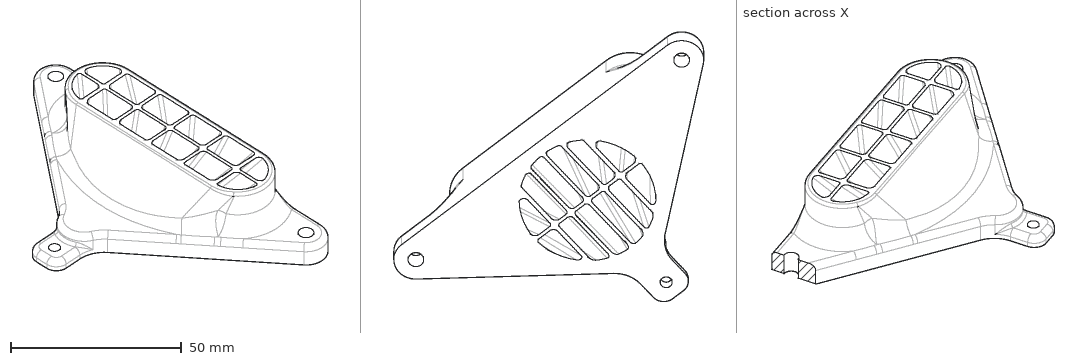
import cadquery as cq
import math

PLATE_HEIGHT = 7.0
PLATE_EDGE_RADIUS = 1.9
EAR_RADIUS = 6.48
EAR_X = 51.0
EAR_HOLE_DIAMETER = 4.6
SIDE_APEX_Y = -47.0
NOSE_RADIUS = 8.0

TAB_HEIGHT = 3.5
TAB_HALF_WIDTH = 6.1
TAB_END_Y = -65.0
TAB_CORNER_RADIUS = 4.0
TAB_EDGE_RADIUS = 1.95
TAB_ROOT_RADIUS = 10.0
TAB_HOLE_DIAMETER = 3.5
TAB_HOLE_Y = -59.6
NOSE_FOOT_RADIUS = 1.0

TOTAL_HEIGHT = 20.0
MOUTH_RADIUS = 11.0
MOUTH_CENTER_X = 27.5
MOUTH_EDGE_RADIUS = 0.9
CAP_BASE_Z = 19.0
SKIRT_RADIUS = 5.0
WALL = 2.0
PORT_RADIUS = 20.0
PORT_Y = -24.0
SLOPE_SPLIT = math.radians(35)
CAVITY_SPLIT = math.radians(51)

COLUMN_VANE_THICKNESS = 1.1
ROW_VANE_THICKNESS = 0.9
VANE_PITCH_TOP = 13.45
VANE_PITCH_BOTTOM = 6.3
VANES_PER_SIDE = 2
CELL_CORNER_RADIUS = 1.0

TOLERANCE = 0.01

side_angle = math.atan2(-EAR_RADIUS - SIDE_APEX_Y, EAR_X)
normal_x = math.sin(side_angle)
normal_y = -math.cos(side_angle)
root_x = TAB_HALF_WIDTH + TAB_ROOT_RADIUS
root_offset = EAR_RADIUS + TAB_ROOT_RADIUS
root_y = SIDE_APEX_Y + (root_offset * normal_y) + (root_x - root_offset * normal_x) * math.tan(side_angle)
nose_y = root_y + math.sqrt((NOSE_RADIUS + TAB_ROOT_RADIUS) ** 2 - root_x ** 2)
ear_tangent = (EAR_X + EAR_RADIUS * normal_x, -EAR_RADIUS + EAR_RADIUS * normal_y)
root_tangent = (root_x - TAB_ROOT_RADIUS * normal_x, root_y - TAB_ROOT_RADIUS * normal_y)
nose_share = NOSE_RADIUS / (NOSE_RADIUS + TAB_ROOT_RADIUS)
nose_tangent = (root_x * nose_share, nose_y + (root_y - nose_y) * nose_share)
ear_middle_angle = (math.pi / 2 + math.atan2(normal_y, normal_x)) / 2


def mirrored(point):
    return (-point[0], point[1])


def point_on_circle(center, radius, angle):
    return (center[0] + radius * math.cos(angle), center[1] + radius * math.sin(angle))


def root_arc_middle(end):
    """Point halfway along the concave root arc between the slanted side and `end`."""
    start_angle = math.atan2(root_tangent[1] - root_y, root_tangent[0] - root_x)
    end_angle = math.atan2(end[1] - root_y, end[0] - root_x) % (2 * math.pi)
    middle_angle = (start_angle + end_angle) / 2
    return point_on_circle((root_x, root_y), TAB_ROOT_RADIUS, middle_angle)


def plate_prism(height):
    ear_middle = point_on_circle((EAR_X, -EAR_RADIUS), EAR_RADIUS, ear_middle_angle)
    nose_root_middle = root_arc_middle(nose_tangent)
    return (
        cq.Workplane("XY")
        .moveTo(-EAR_X, 0)
        .lineTo(EAR_X, 0)
        .threePointArc(ear_middle, ear_tangent)
        .lineTo(*root_tangent)
        .threePointArc(nose_root_middle, nose_tangent)
        .threePointArc((0, nose_y - NOSE_RADIUS), mirrored(nose_tangent))
        .threePointArc(mirrored(nose_root_middle), mirrored(root_tangent))
        .lineTo(*mirrored(ear_tangent))
        .threePointArc(mirrored(ear_middle), (-EAR_X, 0))
        .close()
        .extrude(height)
    )


def make_tab():
    tab_root = (TAB_HALF_WIDTH, root_y)
    tab_root_middle = root_arc_middle(tab_root)
    corner_y = TAB_END_Y + TAB_CORNER_RADIUS
    corner_x = TAB_HALF_WIDTH - TAB_CORNER_RADIUS
    corner_middle = point_on_circle((corner_x, corner_y), TAB_CORNER_RADIUS, -math.pi / 4)
    tab = (
        cq.Workplane("XY")
        .moveTo(*mirrored(root_tangent))
        .lineTo(*root_tangent)
        .threePointArc(tab_root_middle, tab_root)
        .lineTo(TAB_HALF_WIDTH, corner_y)
        .threePointArc(corner_middle, (corner_x, TAB_END_Y))
        .lineTo(-corner_x, TAB_END_Y)
        .threePointArc(mirrored(corner_middle), (-TAB_HALF_WIDTH, corner_y))
        .lineTo(*mirrored(tab_root))
        .threePointArc(mirrored(tab_root_middle), mirrored(root_tangent))
        .close()
        .extrude(TAB_HEIGHT)
    )
    return tab.faces(">Z").edges("not(>Y)").fillet(TAB_EDGE_RADIUS)


def duct_loft(inset, port_radius, split):
    """Ruled solid from the round port at Z = 0 to the slot-shaped mouth at the top."""
    radius = MOUTH_RADIUS - inset
    x = MOUTH_CENTER_X
    port = (0, PORT_Y)
    back_right = point_on_circle(port, port_radius, split)
    front_right = point_on_circle(port, port_radius, -split)
    return (
        cq.Workplane("XY")
        .moveTo(*mirrored(back_right))
        .threePointArc((0, PORT_Y + port_radius), back_right)
        .threePointArc((port_radius, PORT_Y), front_right)
        .threePointArc((0, PORT_Y - port_radius), mirrored(front_right))
        .threePointArc((-port_radius, PORT_Y), mirrored(back_right))
        .close()
        .workplane(offset=TOTAL_HEIGHT)
        .moveTo(-x, -inset)
        .lineTo(x, -inset)
        .threePointArc((x + radius, -MOUTH_RADIUS), (x, -inset - 2 * radius))
        .lineTo(-x, -inset - 2 * radius)
        .threePointArc((-x - radius, -MOUTH_RADIUS), (-x, -inset))
        .close()
        .loft(ruled=True, combine=True)
    )


def slab(bottom, top):
    """Block wider than the part between two heights."""
    size = 4 * EAR_X
    return cq.Workplane("XY").workplane(offset=bottom).rect(size, size).extrude(top - bottom)


def make_duct():
    """Upright collar under the mouth, joined by the slope that runs down to the port."""
    collar = (
        cq.Workplane("XY")
        .center(0, -MOUTH_RADIUS)
        .slot2D(2 * (MOUTH_CENTER_X + MOUTH_RADIUS), 2 * MOUTH_RADIUS)
        .extrude(TOTAL_HEIGHT)
    )
    return collar.union(duct_loft(0, PORT_RADIUS + WALL, SLOPE_SPLIT))


def lies_at(edge, height):
    """True for an edge that runs level at the given height."""
    box = edge.BoundingBox()
    return abs(box.zmin - height) < TOLERANCE and abs(box.zmax - height) < TOLERANCE


def is_skirt_edge(edge):
    """True for the duct's foot on the plate and for the creases between collar and slope."""
    box = edge.BoundingBox()
    in_slab = abs(edge.Center().x) < EAR_X and box.xlen < 2 * EAR_X
    beside_slope = max(abs(box.xmin), abs(box.xmax)) > MOUTH_CENTER_X + MOUTH_EDGE_RADIUS
    is_crease = edge.geomType() == "BSPLINE" and box.zlen > SKIRT_RADIUS and beside_slope
    return in_slab and (lies_at(edge, PLATE_HEIGHT) or is_crease)


def make_plate_with_duct():
    duct = make_duct()
    base = slab(0, PLATE_HEIGHT).union(duct).intersect(slab(0, CAP_BASE_Z))
    skirt_edges = [edge for edge in base.edges().vals() if is_skirt_edge(edge)]
    base = base.newObject(skirt_edges).fillet(SKIRT_RADIUS)
    cap = duct.intersect(slab(CAP_BASE_Z, TOTAL_HEIGHT)).faces(">Z").edges().fillet(MOUTH_EDGE_RADIUS)
    return base.intersect(plate_prism(TOTAL_HEIGHT)).union(cap)


def round_plate_edge(body):
    """Round the plate's top outline on both ears, along the slanted sides and round the nose."""
    skirt_reach = MOUTH_CENTER_X + MOUTH_RADIUS + SKIRT_RADIUS
    ear_edges = [
        edge
        for edge in body.edges().vals()
        if lies_at(edge, PLATE_HEIGHT) and abs(edge.positionAt(0.5).x) > skirt_reach
    ]
    return body.newObject(ear_edges).fillet(PLATE_EDGE_RADIUS)


def round_nose_foot(body):
    """Fill the corner where the nose rises from the top of the tab."""
    foot_edges = [
        edge
        for edge in body.edges().vals()
        if lies_at(edge, TAB_HEIGHT) and edge.BoundingBox().ymin > nose_y - NOSE_RADIUS - TOLERANCE
    ]
    return body.newObject(foot_edges).fillet(NOSE_FOOT_RADIUS)


def slanted_vane(plane, thickness, bottom, top):
    """Wall across the whole duct whose centre line shifts from `bottom` to `top` as it rises."""
    half_width = thickness / 2 * math.hypot(top - bottom, TOTAL_HEIGHT) / TOTAL_HEIGHT
    outline = [
        (bottom - half_width, 0),
        (bottom + half_width, 0),
        (top + half_width, TOTAL_HEIGHT),
        (top - half_width, TOTAL_HEIGHT),
    ]
    return cq.Workplane(plane).polyline(outline).close().extrude(2 * EAR_X, both=True)


def make_cells():
    """The openings of the duct: its cavity divided by the vanes, with rounded corners."""
    cells = duct_loft(WALL, PORT_RADIUS, CAVITY_SPLIT)
    cells = cells.cut(slanted_vane("YZ", ROW_VANE_THICKNESS, PORT_Y, -MOUTH_RADIUS))
    for column in range(-VANES_PER_SIDE, VANES_PER_SIDE + 1):
        bottom = column * VANE_PITCH_BOTTOM
        top = column * VANE_PITCH_TOP
        cells = cells.cut(slanted_vane("XZ", COLUMN_VANE_THICKNESS, bottom, top))
    corners = [edge for edge in cells.edges().vals() if edge.BoundingBox().zlen > TOTAL_HEIGHT - TOLERANCE]
    return cells.newObject(corners).fillet(CELL_CORNER_RADIUS)


def hole(x, y, diameter):
    return cq.Workplane("XY").center(x, y).circle(diameter / 2).extrude(PLATE_HEIGHT)


result = round_plate_edge(make_plate_with_duct())
result = round_nose_foot(result.union(make_tab()))
result = result.cut(make_cells())
for ear_side in (-1, 1):
    result = result.cut(hole(ear_side * EAR_X, -EAR_RADIUS, EAR_HOLE_DIAMETER))
result = result.cut(hole(0, TAB_HOLE_Y, TAB_HOLE_DIAMETER))